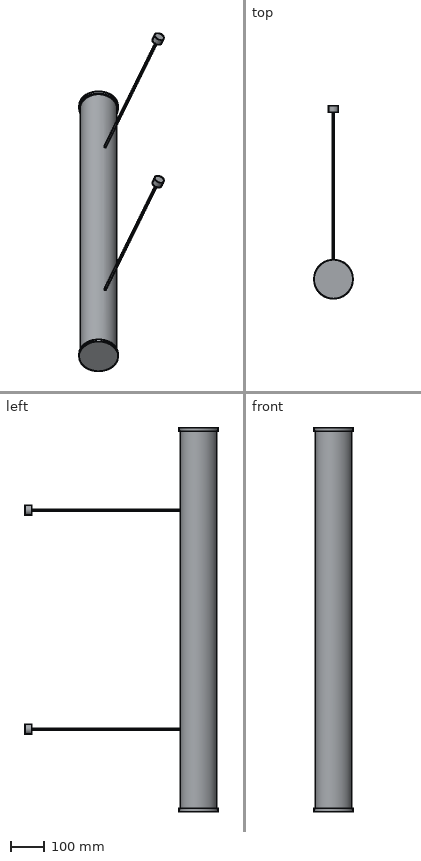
import cadquery as cq

height = 1150.0
depth = 578.0

cap_diameter = 117.0
cap_thickness = 10.0
column_diameter = 110.0

rod_diameter = 6.0
foot_diameter = 30.0
foot_length = 21.0
standoff_spacing = 655.0
standoff_middle = 575.0

wall_y = depth - cap_diameter / 2


def disc_column(diameter, bottom, length):
    """Upright cylinder on the column axis."""
    return cq.Workplane("XY").workplane(offset=bottom).circle(diameter / 2).extrude(length)


def bar_along_y(diameter, start_y, end_y, z):
    """Horizontal cylinder running in +Y at height z."""
    bar = cq.Solid.makeCylinder(
        diameter / 2, end_y - start_y, cq.Vector(0, start_y, z), cq.Vector(0, 1, 0)
    )
    return cq.Workplane(bar)


result = disc_column(column_diameter, 0, height)
for cap_bottom in (0, height - cap_thickness):
    result = result.union(disc_column(cap_diameter, cap_bottom, cap_thickness))

for side in (-1, 1):
    standoff_z = standoff_middle + side * standoff_spacing / 2
    result = result.union(bar_along_y(rod_diameter, 0, wall_y, standoff_z))
    result = result.union(bar_along_y(foot_diameter, wall_y - foot_length, wall_y, standoff_z))